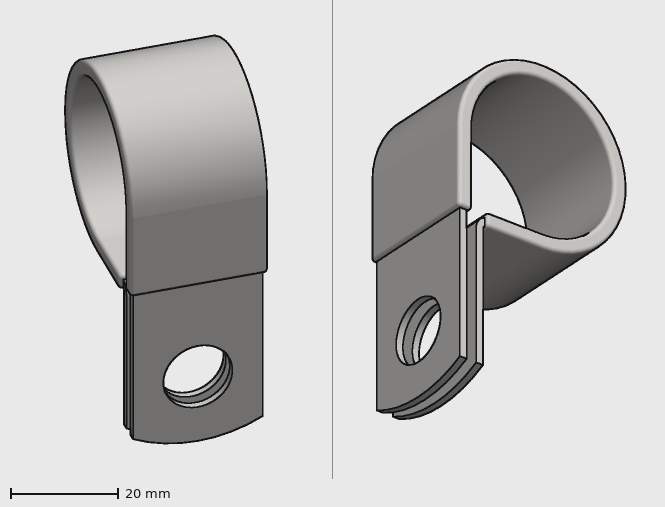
import cadquery as cq

strap_thickness = 1.6
strap_width = 25.4
leg_gap = 2.25
bend_inner_radius = 1.45
leg_bottom_z = -52.4
leg_tip_height = 2.95
hole_diameter = 13.5
hole_z = -38.1

cushion_wall = 0.8
loop_outer_radius = 19.8
wall_end_z = -17.45
floor_end_x = 13.2

cushion_thickness = strap_thickness + 2 * cushion_wall
cushion_width = strap_width + 2 * cushion_wall
loop_inner_radius = loop_outer_radius - cushion_thickness
strap_outer_radius = loop_outer_radius - cushion_wall
strap_inner_radius = strap_outer_radius - strap_thickness
bend_outer_radius = bend_inner_radius + strap_thickness
bent_leg_outer_x = strap_inner_radius - leg_gap
bent_leg_inner_x = bent_leg_outer_x - strap_thickness
bend_center_x = bent_leg_outer_x - bend_outer_radius
bend_end_z = -strap_inner_radius - bend_outer_radius


def extrude_profile(profile, width):
    """Extrude a closed XZ outline symmetrically about Y = 0."""
    return profile.close().extrude(width / 2, both=True)


def make_cushion():
    """Three-quarter loop with a straight wall and a straight floor, rounded along its rims and ends."""
    diagonal = 0.5 ** 0.5
    outer_mid = loop_outer_radius * diagonal
    inner_mid = loop_inner_radius * diagonal
    profile = (
        cq.Workplane("XZ")
        .moveTo(loop_outer_radius, wall_end_z)
        .lineTo(loop_outer_radius, 0)
        .threePointArc((-outer_mid, outer_mid), (0, -loop_outer_radius))
        .lineTo(floor_end_x, -loop_outer_radius)
        .lineTo(floor_end_x, -loop_inner_radius)
        .lineTo(0, -loop_inner_radius)
        .threePointArc((-inner_mid, inner_mid), (loop_inner_radius, 0))
        .lineTo(loop_inner_radius, wall_end_z)
    )
    cushion = extrude_profile(profile, cushion_width)
    side_edges = cushion.faces("<Y or >Y").edges().vals()
    end_edges = []
    for x, z in (
        (loop_outer_radius, wall_end_z),
        (loop_inner_radius, wall_end_z),
        (floor_end_x, -loop_outer_radius),
        (floor_end_x, -loop_inner_radius),
    ):
        end_edges += cushion.edges(cq.NearestToPointSelector((x, 0, z))).vals()
    return cushion.newObject(side_edges + end_edges).fillet(cushion_wall)


def make_straight_leg():
    """Strap leg that continues the straight wall, starting inside the cushion."""
    profile = (
        cq.Workplane("XZ")
        .moveTo(strap_inner_radius, 0)
        .lineTo(strap_outer_radius, 0)
        .lineTo(strap_outer_radius, leg_bottom_z)
        .lineTo(strap_inner_radius, leg_bottom_z)
    )
    return extrude_profile(profile, strap_width)


def make_bent_leg():
    """Strap leg that leaves the floor and bends down beside the straight leg."""
    profile = (
        cq.Workplane("XZ")
        .moveTo(0, -strap_outer_radius)
        .lineTo(0, -strap_inner_radius)
        .lineTo(bend_center_x, -strap_inner_radius)
        .radiusArc((bent_leg_outer_x, bend_end_z), bend_outer_radius)
        .lineTo(bent_leg_outer_x, leg_bottom_z)
        .lineTo(bent_leg_inner_x, leg_bottom_z)
        .lineTo(bent_leg_inner_x, bend_end_z)
        .radiusArc((bend_center_x, -strap_outer_radius), -bend_inner_radius)
    )
    return extrude_profile(profile, strap_width)


def make_leg_envelope():
    """Side outline shared by both legs: arched tip and bolt hole."""
    half_width = strap_width / 2
    tip_corner_z = leg_bottom_z + leg_tip_height
    return (
        cq.Workplane("YZ")
        .moveTo(-half_width, 0)
        .lineTo(-half_width, tip_corner_z)
        .threePointArc((0, leg_bottom_z), (half_width, tip_corner_z))
        .lineTo(half_width, 0)
        .close()
        .moveTo(0, hole_z)
        .circle(hole_diameter / 2)
        .extrude(loop_outer_radius)
    )


legs = make_straight_leg().add(make_bent_leg()).combine().intersect(make_leg_envelope())
result = make_cushion().union(legs)